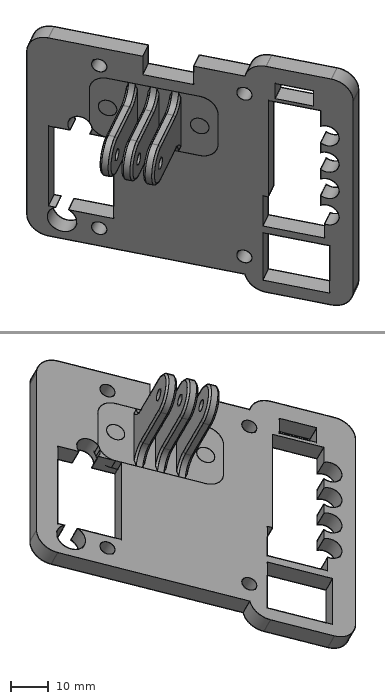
import cadquery as cq
import math


plate_thickness = 5.0
plate_width = 90.0
board_height = 67.0
corner_radius = 6.0

tab_width = 30.0
tab_height = 76.4
tab_left = plate_width - tab_width
tab_bottom = (board_height - tab_height) / 2

notch_left = 32.0
notch_width = 14.0
notch_depth = 6.2

screw_diameter = 4.2
screw_inset = 6.0
screw_columns = (20.0, 60.0)
screw_rows = (screw_inset, board_height - screw_inset)

window_left = 6.0
window_bottom = 10.2
window_width = 18.0
window_height = 27.0
window_top = window_bottom + window_height
upper_relief_center = (14.65, 39.1)
upper_relief_diameter = 6.6
lower_relief_center = (9.75, 6.55)
lower_relief_diameter = 8.1

openings_left = 65.1
slot_opening = (68.5, 61.4, 10.5, 5.1)
tall_opening = (66.6, 20.0, 14.4, 40.3)
foot_opening = (openings_left, 17.5, 17.0, 10.2)
square_opening = (openings_left, -0.8, 18.4, 16.0)
scallop_count = 4
scallop_diameter = 6.6
scallop_x = 82.8
scallop_first_z = 25.5
scallop_pitch = 8.9

base_width = 35.5
base_height = 20.0
base_radius = 5.0
base_thickness = 3.0
base_center_x = 35.0
base_center_z = window_top + base_height / 2
stud_diameter = 5.1
stud_spacing = 25.4

finger_count = 3
finger_pitch = 6.0
finger_thickness = 3.0
finger_reach = 24.0
finger_tip_radius = 6.0
finger_root_radius = 5.0
finger_chamfer = 0.6
hinge_diameter = 3.2
hinge_reach = finger_reach - finger_tip_radius


def block(left, bottom, width, height, depth=plate_thickness):
    """Rectangular block from y = 0 back to the given depth."""
    center = (left + width / 2, bottom + height / 2)
    return cq.Workplane("XZ").center(*center).rect(width, height).extrude(-depth)


def cylinders(centers, diameter, depth=plate_thickness):
    """Round bars from y = 0 back to the given depth, one at each (x, z) center."""
    return cq.Workplane("XZ").pushPoints(centers).circle(diameter / 2).extrude(-depth)


def make_plate_outline():
    board_width = tab_left + tab_width / 2
    board = block(0, 0, board_width, board_height).edges("|Y and <X").fillet(corner_radius)
    tab = block(tab_left, tab_bottom, tab_width, tab_height).edges("|Y").fillet(corner_radius)
    notch = block(notch_left, board_height - notch_depth, notch_width, notch_depth)
    return board.union(tab).cut(notch)


def make_mount_base():
    """Rounded pad let into the plate, with a hole for each stud of the plate."""
    left = base_center_x - base_width / 2
    pad = block(left, window_top, base_width, base_height, base_thickness)
    pad = pad.edges("|Y").fillet(base_radius)
    studs = [(base_center_x + side * stud_spacing / 2, base_center_z) for side in (-1, 1)]
    pad = pad.cut(cylinders(studs, stud_diameter, base_thickness))
    return pad.cut(cylinders([upper_relief_center], upper_relief_diameter))


def make_plate(base):
    plate = make_plate_outline()
    screws = [(x, z) for x in screw_columns for z in screw_rows]
    plate = plate.cut(cylinders(screws, screw_diameter))
    plate = plate.cut(block(window_left, window_bottom, window_width, window_height))
    plate = plate.cut(cylinders([upper_relief_center], upper_relief_diameter))
    plate = plate.cut(cylinders([lower_relief_center], lower_relief_diameter))
    for opening in (slot_opening, tall_opening, foot_opening, square_opening):
        plate = plate.cut(block(*opening))
    scallops = [(scallop_x, scallop_first_z + i * scallop_pitch) for i in range(scallop_count)]
    plate = plate.cut(cylinders(scallops, scallop_diameter))
    return plate.cut(base)


def make_finger(center_x):
    """Hinge finger with a round tip and concave flares that spread to the base's full height."""
    root_half = base_height / 2
    arc_center_z = finger_tip_radius + finger_root_radius
    flare_run = math.sqrt(finger_root_radius**2 - (arc_center_z - root_half) ** 2)
    half_angle = math.asin(flare_run / finger_root_radius) / 2
    flare_mid_y = -flare_run + finger_root_radius * math.sin(half_angle)
    flare_mid_z = arc_center_z - finger_root_radius * math.cos(half_angle)
    finger = (
        cq.Workplane("YZ", origin=(center_x, 0, base_center_z))
        .moveTo(0, root_half)
        .threePointArc((flare_mid_y, flare_mid_z), (-flare_run, finger_tip_radius))
        .lineTo(-hinge_reach, finger_tip_radius)
        .threePointArc((-finger_reach, 0), (-hinge_reach, -finger_tip_radius))
        .lineTo(-flare_run, -finger_tip_radius)
        .threePointArc((flare_mid_y, -flare_mid_z), (0, -root_half))
        .close()
        .extrude(finger_thickness / 2, both=True)
    )
    side_edges = finger.faces("<X or >X").edges("not(>Y)")
    return side_edges.chamfer(finger_chamfer)


def make_mount(base):
    mount = base
    for i in range(finger_count):
        offset = (i - (finger_count - 1) / 2) * finger_pitch
        mount = mount.union(make_finger(base_center_x + offset))
    hinge_hole = (
        cq.Workplane("YZ", origin=(base_center_x, -hinge_reach, base_center_z))
        .circle(hinge_diameter / 2)
        .extrude(base_width / 2, both=True)
    )
    return mount.cut(hinge_hole)


mount_base = make_mount_base()
plate = make_plate(mount_base)
mount = make_mount(mount_base)

result = cq.Compound.makeCompound([plate.solids().val(), mount.solids().val()])